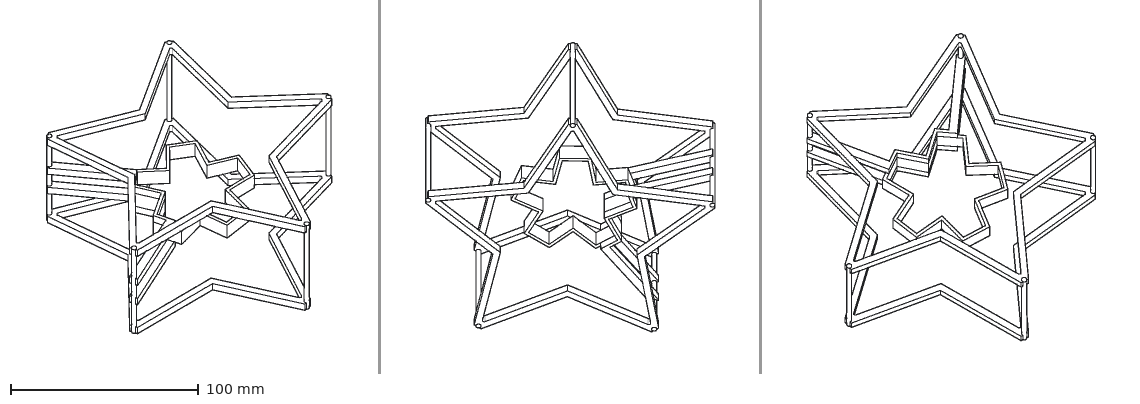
import cadquery as cq
import math

POINTS = 5
POINT_STEP = 360 / POINTS
FIRST_POINT = 90
ARM_POINTS = (2, 3)

total_height = 65.0

rod_diameter = 2.8
rod_circle_radius = 79.7

frame_height = 5.0
frame_width = 3.7
flat_beyond_rod = 0.8
frame_flat_distance = rod_circle_radius + flat_beyond_rod
frame_flat_width = 4.6
frame_valley_radius = 42.5
frame_inner_fillet = 1.0

ring_height = 10.0
ring_wall = 1.9
ring_center_y = -2.6
ring_flat_distance = 32.6
ring_flat_width = 16.8
ring_valley_radius = 19.6

brace_height = 5.0
arm_width = 4.8
arm_start = ring_flat_distance - 2 * ring_wall


def polar(radius, angle):
    """Point at a radius and an angle in degrees."""
    return (radius * math.cos(math.radians(angle)), radius * math.sin(math.radians(angle)))


def point_angle(index):
    """Direction of a star point, counted counter-clockwise from +Y."""
    return FIRST_POINT + index * POINT_STEP


def blunt_star(flat_distance, flat_width, valley_radius):
    """Closed outline of a star whose points end in flats square to their radius."""
    corner_radius = math.hypot(flat_distance, flat_width / 2)
    half_flat_angle = math.degrees(math.atan2(flat_width / 2, flat_distance))
    corners = []
    for index in range(POINTS):
        angle = point_angle(index)
        corners.append(polar(corner_radius, angle - half_flat_angle))
        corners.append(polar(corner_radius, angle + half_flat_angle))
        corners.append(polar(valley_radius, angle + POINT_STEP / 2))
    return cq.Workplane("XY").polyline(corners).close()


def frame_opening():
    """Inside of a large star: edges parallel to the outer ones, points rounded."""
    half_flat = frame_flat_width / 2
    valley_x, valley_y = polar(frame_valley_radius, POINT_STEP / 2)
    half_angle = math.atan2(valley_y - half_flat, frame_flat_distance - valley_x)

    sharp_radius = frame_flat_distance + half_flat / math.tan(half_angle)

    tip_radius = sharp_radius - frame_width / math.sin(half_angle)
    edge_to_radius = half_angle + math.radians(POINT_STEP / 2)
    valley_radius = frame_valley_radius - frame_width / math.sin(edge_to_radius)

    corners = []
    for index in range(POINTS):
        corners.append(polar(tip_radius, point_angle(index)))
        corners.append(polar(valley_radius, point_angle(index) + POINT_STEP / 2))
    opening = cq.Workplane("XY").polyline(corners).close().extrude(frame_height)
    for index in range(POINTS):
        tip_x, tip_y = polar(tip_radius, point_angle(index))
        nearest_tip = cq.NearestToPointSelector((tip_x, tip_y, frame_height / 2))
        opening = opening.edges("|Z").edges(nearest_tip).fillet(frame_inner_fillet)
    return opening


def make_rod(index):
    """Full-height rod in one point."""
    return (
        cq.Workplane("XY", origin=(0, 0, -total_height / 2))
        .center(*polar(rod_circle_radius, point_angle(index)))
        .circle(rod_diameter / 2)
        .extrude(total_height)
    )


def cut_rods(body, rods):
    """Holes in which the rods sit."""
    for rod in rods:
        body = body.cut(rod)
    return body


def make_frame(bottom_z, rods):
    """Large star band with holes for the rods, which break out through the flats."""
    outline = blunt_star(frame_flat_distance, frame_flat_width, frame_valley_radius)
    band = outline.extrude(frame_height).cut(frame_opening())
    return cut_rods(band.translate((0, 0, bottom_z)), rods)


def ring_outside(height):
    """Solid block inside the outer edge of the small star."""
    outline = blunt_star(ring_flat_distance, ring_flat_width, ring_valley_radius)
    return outline.extrude(height).translate((0, ring_center_y, 0))


def ring_inside(height):
    """Opening of the small star."""
    outline = blunt_star(ring_flat_distance, ring_flat_width, ring_valley_radius)
    return outline.offset2D(-ring_wall, "intersection").extrude(height).translate((0, ring_center_y, 0))


def make_ring():
    """Small star wall, centred on Z = 0."""
    ring = ring_outside(ring_height).cut(ring_inside(ring_height))
    return ring.translate((0, 0, -ring_height / 2))


def brace_arm(index):
    """Straight bar along a radius, from inside the small star to the blunt end of a point."""
    length = frame_flat_distance - arm_start
    bar = cq.Workplane("XY").box(length, arm_width, brace_height, centered=(False, True, False))
    return bar.translate((arm_start, 0, 0)).rotate((0, 0, 0), (0, 0, 1), point_angle(index))


def make_brace(bottom_z, rods):
    """Strip along the lower notch of the small star, with an arm to each lower rod."""
    sector = [(0, 0)] + [polar(rod_circle_radius, point_angle(index)) for index in ARM_POINTS]
    brace = cq.Workplane("XY").polyline(sector).close().extrude(brace_height)
    brace = brace.intersect(ring_outside(brace_height))
    for index in ARM_POINTS:
        brace = brace.union(brace_arm(index))
    brace = brace.cut(ring_inside(brace_height))
    return cut_rods(brace.translate((0, 0, bottom_z)), rods)


rods = [make_rod(index) for index in range(POINTS)]
frames = [make_frame(z, rods) for z in (-total_height / 2, total_height / 2 - frame_height)]
ring = make_ring()
braces = [make_brace(z, rods) for z in (-ring_height / 2 - brace_height, ring_height / 2)]

bodies = [*rods, *frames, ring, *braces]
result = cq.Compound.makeCompound([body.val() for body in bodies])